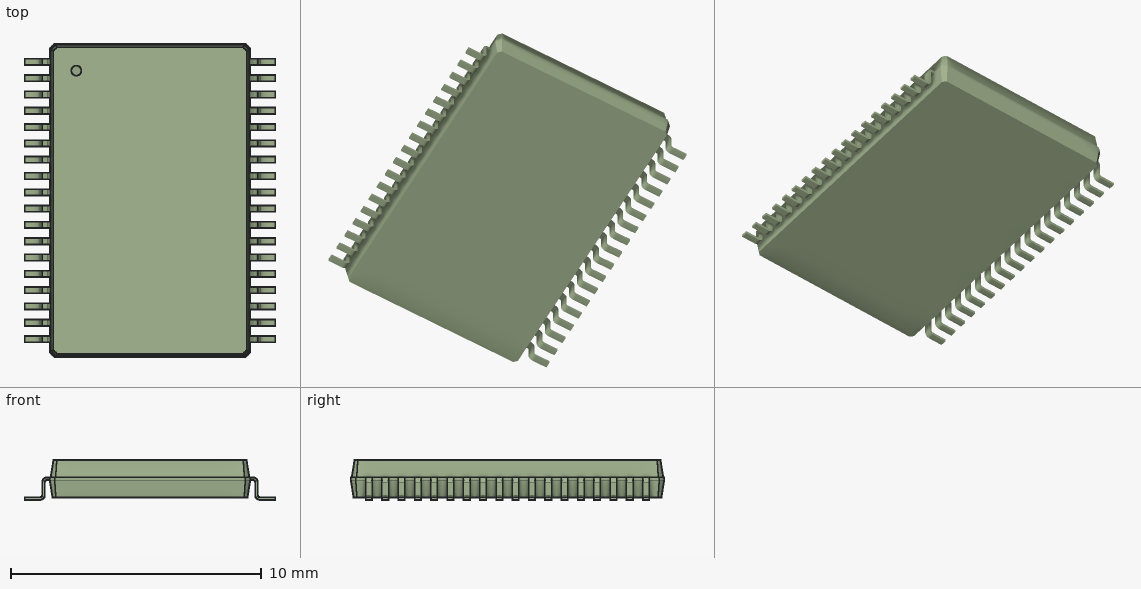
import cadquery as cq
import math

lead_span = 10.0
body_length = 12.5
overall_height = 1.6

body_width = 8.0
standoff = 0.1
draft_angle = 9.0
upper_ledge = 0.04
corner_chamfer = 0.2

leads_per_side = 18
lead_pitch = 0.65
lead_width = 0.26
lead_thickness = 0.11
bend_inner_radius = 0.09
shank_offset = 4.3
lead_embedment = 0.12

marker_diameter = 0.4
marker_depth = 0.05
marker_x = -2.94
marker_y = 5.18

body_mid_z = (overall_height + standoff) / 2
band_bottom = body_mid_z - lead_thickness / 2
band_top = body_mid_z + lead_thickness / 2
taper_height = overall_height - band_top


def body_section(z, inset=0.0):
    """Chamfered rectangle at height z, its sides moved in from the widest section by inset."""
    half_width = body_width / 2 - inset
    half_length = body_length / 2 - inset
    c = corner_chamfer
    return cq.Workplane("XY", origin=(0, 0, z)).polyline([
        (half_width, half_length - c),
        (half_width - c, half_length),
        (c - half_width, half_length),
        (-half_width, half_length - c),
        (-half_width, c - half_length),
        (c - half_width, -half_length),
        (half_width - c, -half_length),
        (half_width, c - half_length),
    ]).close()


def make_body():
    band = body_section(band_bottom).extrude(lead_thickness)
    upper = body_section(band_top, upper_ledge).extrude(taper_height, taper=draft_angle)
    lower = body_section(band_bottom).extrude(-taper_height, taper=draft_angle)
    return band.union(upper).union(lower)


def make_lead():
    """One lead on the +X side, centred on y = 0, with its foot on z = 0."""
    bend_outer_radius = bend_inner_radius + lead_thickness
    arc = math.sqrt(0.5)
    root_x = body_width / 2 - lead_embedment
    tip_x = lead_span / 2
    outer_x = shank_offset
    inner_x = outer_x - lead_thickness
    upper_x = outer_x - bend_outer_radius
    upper_z = band_top - bend_outer_radius
    lower_x = outer_x + bend_inner_radius
    lower_z = bend_outer_radius

    def on_upper(radius):
        return (upper_x + radius * arc, upper_z + radius * arc)

    def on_lower(radius):
        return (lower_x - radius * arc, lower_z - radius * arc)

    profile = (
        cq.Workplane("XZ")
        .moveTo(root_x, band_top)
        .lineTo(upper_x, band_top)
        .threePointArc(on_upper(bend_outer_radius), (outer_x, upper_z))
        .lineTo(outer_x, lower_z)
        .threePointArc(on_lower(bend_inner_radius), (lower_x, lead_thickness))
        .lineTo(tip_x, lead_thickness)
        .lineTo(tip_x, 0)
        .lineTo(lower_x, 0)
        .threePointArc(on_lower(bend_outer_radius), (inner_x, lower_z))
        .lineTo(inner_x, upper_z)
        .threePointArc(on_upper(bend_inner_radius), (upper_x, band_bottom))
        .lineTo(root_x, band_bottom)
        .close()
    )
    return profile.extrude(lead_width / 2, both=True)


def add_leads(body):
    right_lead = make_lead()
    left_lead = right_lead.mirror("YZ")
    for index in range(leads_per_side):
        y = (index - (leads_per_side - 1) / 2) * lead_pitch
        for lead in (right_lead, left_lead):
            body = body.union(lead.translate((0, y, 0)))
    return body


def cut_pin_one_marker(body):
    marker = (
        cq.Workplane("XY", origin=(marker_x, marker_y, overall_height))
        .circle(marker_diameter / 2)
        .extrude(-marker_depth)
    )
    return body.cut(marker)


result = cut_pin_one_marker(add_leads(make_body()))